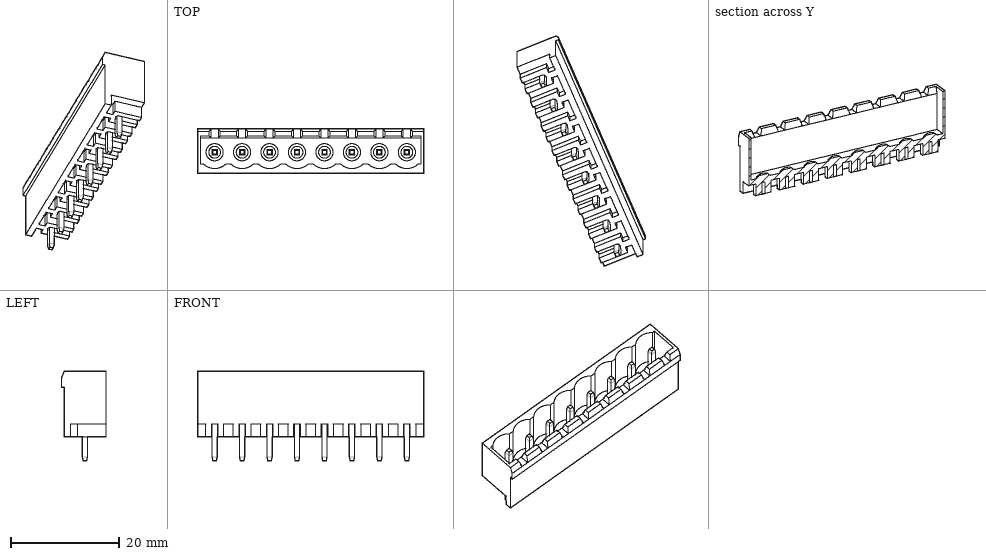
import cadquery as cq


length = 41.85
housing_depth = 7.8
housing_height = 12.15

pin_count = 8
pin_row_span = 35.55
pitch = pin_row_span / (pin_count - 1)
pin_y = 3.95
pin_width = 1.0
pin_tip_width = 0.65
pin_tip_height = 0.75
pin_tail = 4.48
pin_top_gap = 1.1
pin_positions = [i * pitch - pin_row_span / 2 for i in range(pin_count)]

end_wall = 0.55
front_wall = 1.75
cavity_back_y = 6.53
floor_z = 3.5
scallop_radius = 3.0

collar_diameter = 3.2
collar_top_diameter = 2.18
collar_height = 0.5

rail_projection = 0.5
rail_height = 3.0
bevel_height = 1.25
tooth_bevel = 0.4
notch_floor_width = 1.35
notch_top_width = 2.0

foot_height = 2.4
foot_width = 3.3
foot_depth = 5.3
foot_slot_width = 1.2
foot_web_width = foot_slot_width
rear_skirt_y = 6.55


def box(x_size, y_min, y_max, z_min, z_max, x_center=0.0):
    """Box centred on x_center and spanning the given Y and Z ranges."""
    size = (x_size, y_max - y_min, z_max - z_min)
    corner = (x_center - x_size / 2, y_min, z_min)
    return cq.Workplane("XY").box(*size, centered=False).translate(corner)


def make_housing():
    """Solid housing whose back carries the latch rail, bevelled at the top."""
    rail_back_y = housing_depth + rail_projection
    profile = [
        (0, 0),
        (housing_depth, 0),
        (housing_depth, housing_height - rail_height),
        (rail_back_y, housing_height - rail_height),
        (rail_back_y, housing_height - bevel_height),
        (housing_depth, housing_height),
        (0, housing_height),
    ]
    return cq.Workplane("YZ").polyline(profile).close().extrude(length / 2, both=True)


def make_cavity():
    """Rectangular cavity with a round scallop in the front wall at each pin."""
    cavity_length = length - 2 * end_wall
    cavity = box(cavity_length, front_wall, cavity_back_y, floor_z, housing_height)
    front_half = box(cavity_length, 0, pin_y, floor_z, housing_height)
    bevel_profile = [
        (cavity_back_y, housing_height - bevel_height),
        (cavity_back_y + tooth_bevel, housing_height),
        (cavity_back_y, housing_height),
    ]
    tooth_bevels = cq.Workplane("YZ").polyline(bevel_profile).close().extrude(cavity_length / 2, both=True)
    cavity = cavity.union(tooth_bevels)
    for x in pin_positions:
        scallop = cq.Workplane("XY", origin=(x, pin_y, floor_z)).circle(scallop_radius)
        cavity = cavity.union(scallop.extrude(housing_height - floor_z).intersect(front_half))
    return cavity


def make_notch(x):
    """Sloped-sided notch through the rear wall behind one pin."""
    notch_floor_z = housing_height - bevel_height
    profile = [
        (x - notch_floor_width / 2, notch_floor_z),
        (x + notch_floor_width / 2, notch_floor_z),
        (x + notch_top_width / 2, housing_height),
        (x - notch_top_width / 2, housing_height),
    ]
    notch_run = housing_depth + rail_projection - cavity_back_y
    plane = cq.Workplane("XZ", origin=(0, cavity_back_y, 0))
    return plane.polyline(profile).close().extrude(-notch_run)


def make_foot(x):
    """Block under one pin, with a round-ended slot open to the front, tied to the rear skirt by a web."""
    foot = box(foot_width, 0, foot_depth, 0, foot_height, x)
    slot = box(foot_slot_width, 0, pin_y, 0, foot_height, x)
    slot_end = cq.Workplane("XY", origin=(x, pin_y, 0)).circle(foot_slot_width / 2).extrude(foot_height)
    web = box(foot_web_width, foot_depth, rear_skirt_y, 0, foot_height, x)
    return foot.cut(slot).cut(slot_end).union(web)


def make_pin_tip(x, z, direction):
    """Tapered square tip pointing up (direction 1) or down (direction -1) from height z."""
    plane = cq.Plane(origin=(x, pin_y, z), xDir=(1, 0, 0), normal=(0, 0, direction))
    return (
        cq.Workplane(plane)
        .rect(pin_width, pin_width)
        .workplane(offset=pin_tip_height)
        .rect(pin_tip_width, pin_tip_width)
        .loft()
    )


def make_pin(x):
    """Square pin, tapered at both ends, with its collar."""
    half_width = pin_width / 2
    shank_bottom = pin_tip_height - pin_tail
    shank_top = housing_height - pin_top_gap - pin_tip_height
    shank = box(pin_width, pin_y - half_width, pin_y + half_width, shank_bottom, shank_top, x)
    collar = (
        cq.Workplane("XY", origin=(x, pin_y, floor_z))
        .circle(collar_diameter / 2)
        .workplane(offset=collar_height)
        .circle(collar_top_diameter / 2)
        .loft()
    )
    pin = shank.union(make_pin_tip(x, shank_top, 1))
    pin = pin.union(make_pin_tip(x, shank_bottom, -1))
    return pin.union(collar)


def make_underside_space():
    """Space to clear in front of the rear skirt, leaving the feet standing."""
    space = box(length, 0, rear_skirt_y, 0, foot_height)
    for x in pin_positions:
        space = space.cut(make_foot(x))
    return space


body = make_housing().cut(make_cavity()).cut(make_underside_space())

for pin_x in pin_positions:
    body = body.cut(make_notch(pin_x))
    body = body.union(make_pin(pin_x))

result = body